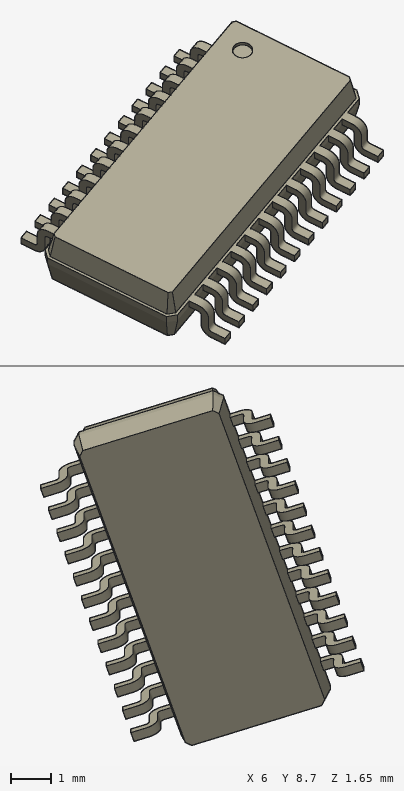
import cadquery as cq
import math

length = 8.7
lead_span = 6.0
height = 1.65

body_width = 3.9
corner_cut = 0.2
standoff = 0.1
band_top = 0.99
band_ledge = 0.074
top_inset = 0.21
bottom_inset = 0.13

mark_diameter = 0.5
mark_depth = 0.1
mark_x = -1.03
mark_y = 3.44

leads_per_side = 12
lead_pitch = 0.635
lead_width = 0.25
lead_thickness = 0.23
foot_to_shank = 0.48
inner_radius = 0.09
lead_embed = 0.17

outer_radius = inner_radius + lead_thickness
band_bottom = band_top - lead_thickness


def body_outline(inset, z):
    """Corner-cut rectangle at height z, with every side moved inward by inset."""
    cut = corner_cut - inset * (2 - math.sqrt(2))
    half_x = body_width / 2 - inset
    half_y = length / 2 - inset
    points = [
        (half_x, half_y - cut),
        (half_x - cut, half_y),
        (cut - half_x, half_y),
        (-half_x, half_y - cut),
        (-half_x, cut - half_y),
        (cut - half_x, -half_y),
        (half_x - cut, -half_y),
        (half_x, cut - half_y),
    ]
    return cq.Workplane("XY").workplane(offset=z).polyline(points).close().wires().val()


def body_layer(low_inset, low_z, high_inset, high_z):
    """Solid with flat sides between two body outlines."""
    outlines = [body_outline(low_inset, low_z), body_outline(high_inset, high_z)]
    return cq.Workplane(cq.Solid.makeLoft(outlines, True))


def make_body():
    lower = body_layer(bottom_inset, standoff, 0, band_bottom)
    band = body_layer(0, band_bottom, 0, band_top)
    upper = body_layer(band_ledge, band_top, top_inset, height)
    mark = (
        cq.Workplane("XY")
        .workplane(offset=height - mark_depth)
        .center(mark_x, mark_y)
        .circle(mark_diameter / 2)
        .extrude(mark_depth)
    )
    return lower.union(band).union(upper).cut(mark)


def make_lead(y):
    """One lead on the +X side, centred at y, with its foot resting on z = 0."""
    tip = lead_span / 2
    root = body_width / 2 - lead_embed
    shank_out = tip - foot_to_shank
    shank_in = shank_out - lead_thickness
    shoulder_x = shank_out - outer_radius
    foot_x = shank_in + outer_radius
    shoulder_z = band_top - outer_radius
    foot_z = outer_radius
    diagonal = math.sqrt(0.5)
    inner_mid = inner_radius * diagonal
    outer_mid = outer_radius * diagonal
    return (
        cq.Workplane("XZ", origin=(0, y + lead_width / 2, 0))
        .moveTo(root, band_top)
        .lineTo(shoulder_x, band_top)
        .threePointArc((shoulder_x + outer_mid, shoulder_z + outer_mid), (shank_out, shoulder_z))
        .lineTo(shank_out, foot_z)
        .threePointArc((foot_x - inner_mid, foot_z - inner_mid), (foot_x, lead_thickness))
        .lineTo(tip, lead_thickness)
        .lineTo(tip, 0)
        .lineTo(foot_x, 0)
        .threePointArc((foot_x - outer_mid, foot_z - outer_mid), (shank_in, foot_z))
        .lineTo(shank_in, shoulder_z)
        .threePointArc((shoulder_x + inner_mid, shoulder_z + inner_mid), (shoulder_x, band_bottom))
        .lineTo(root, band_bottom)
        .close()
        .extrude(lead_width)
    )


result = make_body()
for index in range(leads_per_side):
    lead = make_lead((index - (leads_per_side - 1) / 2) * lead_pitch)
    result = result.union(lead).union(lead.mirror("YZ"))